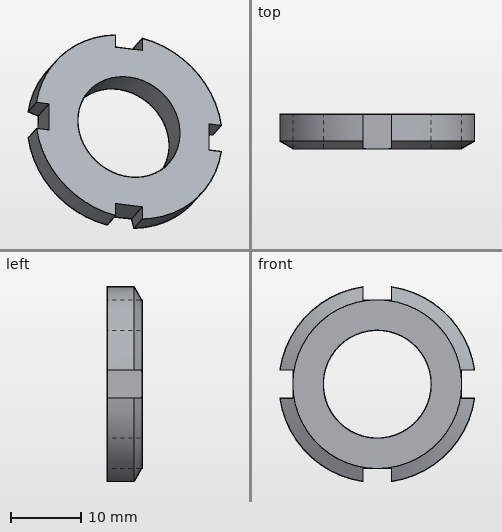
import cadquery as cq
import math

span = 27.7
thickness = 5.0
slot_width = 4.0
bore_diameter = 15.3
face_diameter = 24.0
chamfer_angle = 30.0

outer_radius = math.hypot(span, slot_width) / 2
face_radius = face_diameter / 2
bore_radius = bore_diameter / 2
chamfer_depth = (outer_radius - face_radius) * math.tan(math.radians(chamfer_angle))

slot_floor = face_radius
slot_length = outer_radius


def ring():
    """Revolve the half section around the Y axis."""
    return (
        cq.Workplane("XY")
        .moveTo(bore_radius, 0)
        .lineTo(face_radius, 0)
        .lineTo(outer_radius, chamfer_depth)
        .lineTo(outer_radius, thickness)
        .lineTo(bore_radius, thickness)
        .close()
        .revolve(360, (0, 0, 0), (0, 1, 0))
    )


def slot(angle):
    """Through-thickness wrench slot, turned about the Y axis."""
    return (
        cq.Workplane("XY")
        .box(slot_length, thickness, slot_width, centered=(False, False, True))
        .translate((slot_floor, 0, 0))
        .rotate((0, 0, 0), (0, 1, 0), angle)
    )


result = ring()
for slot_angle in (0, 90, 180, 270):
    result = result.cut(slot(slot_angle))